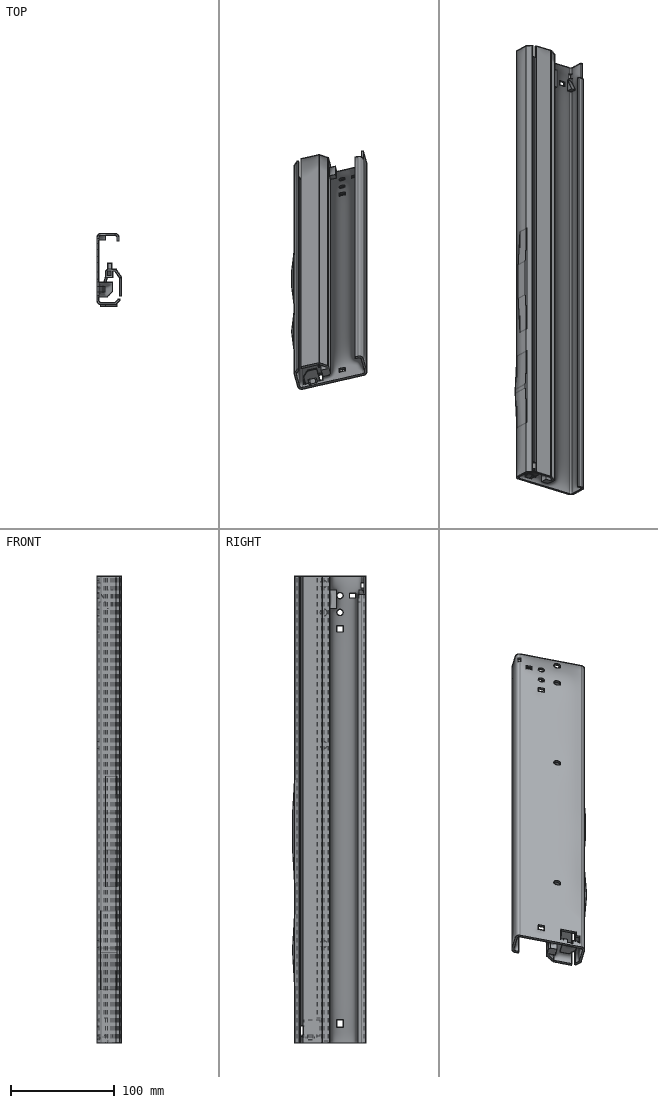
import cadquery as cq
import math

length = 450.0
z_bottom = -length / 2
sheet = 2.02
web_x = -11.92
rail_back_y = 35.32
rail_front_y = -33.5
pad_height = 2.02
corner_radius = 4.0

back_lip_x = 9.5
back_lip_y = 28.0
front_flange_end_x = 6.5
front_lip_x = 10.5
front_lip_y = -28.0
back_lip_drop = 18.0

pad_right_x = 7.5
pads = [(-3.5, -21.0, 106.0, 35.5), (-8.5, -135.5, 75.5, 4.0)]

mounting_row_y = 10.5
access_row_y = -5.5
mounting_hole_diameter = 6.0
access_hole_diameter = 6.8
round_holes = [(mounting_row_y, z, mounting_hole_diameter) for z in (206.0, 190.0)] + [
    (access_row_y, z, access_hole_diameter) for z in (217.5, 190.0, 62.0, -129.5)
]
square_side = 6.0
tall_height = 7.0
rectangular_holes = [
    (22.5, 206.0, square_side, 4.5),
    (mounting_row_y, 174.0, square_side, square_side),
    (mounting_row_y, -206.0, square_side, tall_height),
    (32.0, 216.0, 2.5, 5.0),
]

gusset_top_z = 213.5
gusset_reach = 8.5
gusset_drop = 13.5
gusset_y = 31.0
gusset_width = 4.5

window_top_z = -203.0
window_bottom_z = -218.2
window_back_y = -9.0
window_front_y = -28.0
window_step_y = -24.5
window_step_z = -208.5
tab_tip_x = 3.0
tab_back_y = -11.5
tab_front_y = -26.0
tab_chamfer = 5.5
bead_y = -18.5
bead_width = 8.0
bead_reach = 7.5
bead_drop = 4.5
bead_wall = 1.5

runner_wall_x = 11.92
runner_wall_front_y = -25.0
runner_bend_y = -7.0
tube_left_x = -3.5
tube_right_x = 3.5
tube_back_y = 1.0
tube_front_y = -7.0
tube_chamfer = 2.0
flat_end_x = 6.0
leg_tip_x = -4.0
leg_tip_y = -11.5
leg_bottom_z = -200.5
fin_center_x = 0.5
fin_width = 4.0
fin_tip_y = 6.8
fin_bottom_z = 193.5
fin_top_z = 211.5


def prism(points, bottom_z=z_bottom):
    """Extrude an XY outline from the given height to the top end."""
    height = length / 2 - bottom_z
    return cq.Workplane("XY").workplane(offset=bottom_z).polyline(points).close().extrude(height)


def strip(start, end, bottom_z=z_bottom):
    """A flat strip, up to the top end, whose centre line runs between two XY points."""
    dx, dy = end[0] - start[0], end[1] - start[1]
    center = cq.Vector((start[0] + end[0]) / 2, (start[1] + end[1]) / 2, bottom_z)
    plane = cq.Plane(origin=center, xDir=(dx, dy, 0), normal=(0, 0, 1))
    return cq.Workplane(plane).rect(math.hypot(dx, dy), sheet).extrude(length / 2 - bottom_z)


def rail_section():
    """C-section with rounded web corners, a bent back lip and a front lip on an inclined bend."""
    inner_radius = corner_radius - sheet
    bend_shift = sheet * math.tan(math.pi / 8)
    bend_y = rail_front_y + front_lip_x - front_flange_end_x
    return (
        cq.Workplane("XY")
        .workplane(offset=z_bottom)
        .moveTo(back_lip_x, back_lip_y)
        .lineTo(back_lip_x, rail_back_y - corner_radius)
        .radiusArc((back_lip_x - corner_radius, rail_back_y), -corner_radius)
        .lineTo(web_x + corner_radius, rail_back_y)
        .radiusArc((web_x, rail_back_y - corner_radius), -corner_radius)
        .lineTo(web_x, rail_front_y + corner_radius)
        .radiusArc((web_x + corner_radius, rail_front_y), -corner_radius)
        .lineTo(front_flange_end_x, rail_front_y)
        .lineTo(front_lip_x, bend_y)
        .lineTo(front_lip_x, front_lip_y)
        .lineTo(front_lip_x - sheet, front_lip_y)
        .lineTo(front_lip_x - sheet, bend_y + bend_shift)
        .lineTo(front_flange_end_x - bend_shift, rail_front_y + sheet)
        .lineTo(web_x + corner_radius, rail_front_y + sheet)
        .radiusArc((web_x + sheet, rail_front_y + corner_radius), inner_radius)
        .lineTo(web_x + sheet, rail_back_y - corner_radius)
        .radiusArc((web_x + corner_radius, rail_back_y - sheet), inner_radius)
        .lineTo(back_lip_x - corner_radius, rail_back_y - sheet)
        .radiusArc((back_lip_x - sheet, rail_back_y - corner_radius), inner_radius)
        .lineTo(back_lip_x - sheet, back_lip_y)
        .close()
        .extrude(length)
    )


def pad(left_x, center_z, pad_length, crest_length):
    """Raised pad on the front flange, ramped at both ends to a flat crest."""
    crest_y = rail_front_y - pad_height
    return (
        cq.Workplane("YZ")
        .workplane(offset=left_x)
        .moveTo(rail_front_y, center_z - pad_length / 2)
        .lineTo(crest_y, center_z - crest_length / 2)
        .lineTo(crest_y, center_z + crest_length / 2)
        .lineTo(rail_front_y, center_z + pad_length / 2)
        .close()
        .extrude(pad_right_x - left_x)
    )


def web_plane():
    """Workplane on the outer face of the web: local x is Y, local y is Z, normal is +X."""
    return cq.Workplane("YZ").workplane(offset=web_x)


def web_openings():
    """Round and rectangular holes and the stepped window, as one cutter."""
    cutter = cq.Workplane("XY")
    for y, z, diameter in round_holes:
        cutter = cutter.add(web_plane().center(y, z).circle(diameter / 2).extrude(corner_radius))
    for y, z, width, height in rectangular_holes:
        cutter = cutter.add(web_plane().center(y, z).rect(width, height).extrude(corner_radius))
    window = (
        web_plane()
        .moveTo(window_back_y, window_bottom_z)
        .lineTo(window_back_y, window_top_z)
        .lineTo(window_step_y, window_top_z)
        .lineTo(window_step_y, window_step_z)
        .lineTo(window_front_y, window_step_z)
        .lineTo(window_front_y, window_bottom_z)
        .close()
        .extrude(sheet)
    )
    return cutter.add(window).combine()


def stop_tab():
    """Horizontal tab folded inwards from the lower window edge, with one corner cut off."""
    return (
        cq.Workplane("XY")
        .workplane(offset=window_bottom_z - sheet / 2)
        .moveTo(web_x, tab_back_y)
        .lineTo(tab_tip_x, tab_back_y)
        .lineTo(tab_tip_x, tab_front_y + tab_chamfer)
        .lineTo(tab_tip_x - tab_chamfer, tab_front_y)
        .lineTo(web_x, tab_front_y)
        .close()
        .extrude(sheet)
    )


def corner_wedge(corner_x, center_y, top_z, reach, drop, width):
    """Triangular wedge below a horizontal edge: it reaches inwards along +X and drops along -Z."""
    return (
        cq.Workplane("XZ", origin=(0, center_y + width / 2, 0))
        .moveTo(corner_x, top_z)
        .lineTo(corner_x + reach, top_z)
        .lineTo(corner_x, top_z - drop)
        .close()
        .extrude(width)
    )


def back_gusset():
    """Gusset on the inner web face whose top slopes down away from the web."""
    inner_x = web_x + sheet / 2
    tip_x = web_x + gusset_reach
    tip_z = gusset_top_z - gusset_drop
    return (
        cq.Workplane("XZ", origin=(0, gusset_y + gusset_width / 2, 0))
        .moveTo(inner_x, gusset_top_z)
        .lineTo(tip_x, tip_z)
        .lineTo(inner_x, tip_z)
        .close()
        .extrude(gusset_width)
    )


def back_lip_relief():
    """Cutter that removes the back lip and its bend at the top end of the rail."""
    bend_start_x = back_lip_x - corner_radius
    depth = rail_back_y - back_lip_y
    return cq.Workplane("XY").box(corner_radius, depth, back_lip_drop, centered=False).translate(
        (bend_start_x, back_lip_y, length / 2 - back_lip_drop)
    )


def make_rail():
    """C-rail with pads, web openings and the beaded stop tab."""
    rail = rail_section()
    for pad_size in pads:
        rail = rail.union(pad(*pad_size))
    rail = rail.cut(back_lip_relief()).cut(web_openings()).union(stop_tab()).union(back_gusset())
    tab_top_z = window_bottom_z + sheet / 2
    rib = corner_wedge(
        web_x, bead_y, tab_top_z, bead_reach + bead_wall, bead_drop + bead_wall, bead_width
    )
    dent = corner_wedge(web_x, bead_y, tab_top_z, bead_reach, bead_drop, bead_width - 2 * bead_wall)
    return rail.union(rib).cut(dent)


def make_runner():
    """Runner: flat wall, inclined web, square tube with a floor, a slanted leg and a short fin."""
    half = sheet / 2
    wall_x = runner_wall_x - half
    top_y = tube_back_y - half

    tube = prism([
        (tube_left_x, tube_front_y),
        (tube_right_x, tube_front_y),
        (tube_right_x, tube_back_y),
        (tube_left_x + tube_chamfer, tube_back_y),
        (tube_left_x, tube_back_y - tube_chamfer),
    ])
    bore = prism([
        (tube_left_x + sheet, tube_front_y + sheet),
        (tube_right_x - sheet, tube_front_y + sheet),
        (tube_right_x - sheet, tube_back_y - sheet),
        (tube_left_x + sheet, tube_back_y - sheet),
    ], z_bottom + sheet)
    wall = strip((wall_x, runner_wall_front_y), (wall_x, runner_bend_y))
    incline = strip((wall_x, runner_bend_y), (flat_end_x, top_y))
    flat = strip((flat_end_x + half, top_y), (tube_right_x - half, top_y))
    leg = strip((leg_tip_x, leg_tip_y), (tube_left_x + half, tube_front_y + half), leg_bottom_z)
    fin = (
        cq.Workplane("XY")
        .workplane(offset=fin_bottom_z)
        .center(fin_center_x, (tube_back_y - half + fin_tip_y) / 2)
        .rect(fin_width, fin_tip_y - tube_back_y + half)
        .extrude(fin_top_z - fin_bottom_z)
    )
    return wall.union(incline).union(flat).union(tube).cut(bore).union(leg).union(fin)


rail = make_rail()
runner = make_runner()
result = cq.Compound.makeCompound([rail.val(), runner.val()])